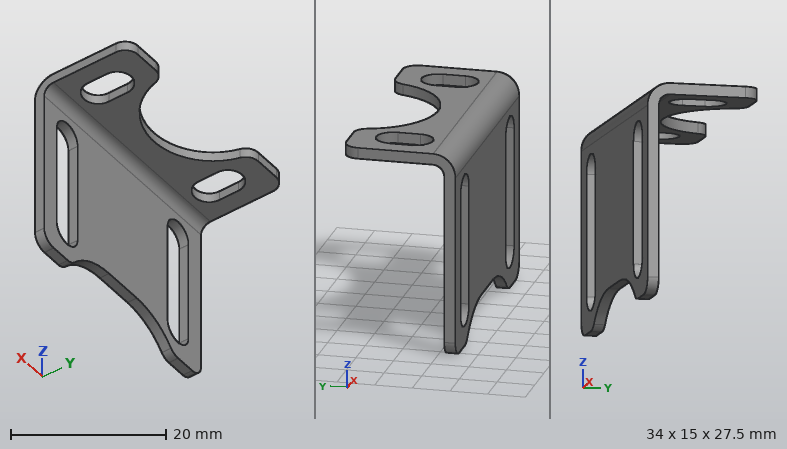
import cadquery as cq

width = 34.0
depth = 15.0
height = 27.5
thickness = 1.5
bend_radius = 2 * thickness
corner_radius = 2.0

slot_width = 4.5
slot_spacing = 24.0
plate_slot_length = 20.55
plate_slot_top_gap = 4.25
flange_slot_length = 7.5
flange_slot_edge_gap = 3.25

flange_notch_depth = 8.5
flange_notch_radius = 9.5

plate_notch_depth = 4.0
plate_notch_flat = 6.0
plate_notch_radius = 10.0


def make_bent_sheet():
    """L-shaped sheet with concentric bend radii; outer corner on the X axis."""
    profile = [
        (0, 0),
        (depth, 0),
        (depth, -thickness),
        (thickness, -thickness),
        (thickness, -height),
        (0, -height),
    ]
    sheet = cq.Workplane("YZ").polyline(profile).close().extrude(width / 2, both=True)
    sheet = sheet.edges(cq.selectors.NearestToPointSelector((0, 0, 0))).fillet(bend_radius)
    inner_corner = (0, thickness, -thickness)
    return sheet.edges(cq.selectors.NearestToPointSelector(inner_corner)).fillet(bend_radius - thickness)


def slot_pair(plane, length, center):
    """Two slots either side of X = 0, cutting only the leg at the given plane."""
    return (
        cq.Workplane(plane)
        .pushPoints([(side * slot_spacing / 2, center) for side in (-1, 1)])
        .slot2D(length, slot_width, 90)
        .extrude(thickness, both=True)
    )


def flange_notch():
    center_y = depth - flange_notch_depth + flange_notch_radius
    return (
        cq.Workplane("XY")
        .center(0, center_y)
        .circle(flange_notch_radius)
        .extrude(thickness, both=True)
    )


def plate_notch():
    """Two equal discs joined by a flat: an obround lying across the lower edge."""
    center_z = -height + plate_notch_depth - plate_notch_radius
    return (
        cq.Workplane("XZ")
        .center(0, center_z)
        .slot2D(plate_notch_flat + 2 * plate_notch_radius, 2 * plate_notch_radius)
        .extrude(thickness, both=True)
    )


flange_slot_center = depth - flange_slot_edge_gap - flange_slot_length / 2
plate_slot_center = -plate_slot_top_gap - plate_slot_length / 2

result = (
    make_bent_sheet()
    .cut(flange_notch())
    .cut(plate_notch())
    .cut(slot_pair("XY", flange_slot_length, flange_slot_center))
    .cut(slot_pair("XZ", plate_slot_length, plate_slot_center))
)

result = result.faces(">Y").edges("|Z").fillet(corner_radius)
result = result.faces("<Z").edges("|Y").fillet(corner_radius)